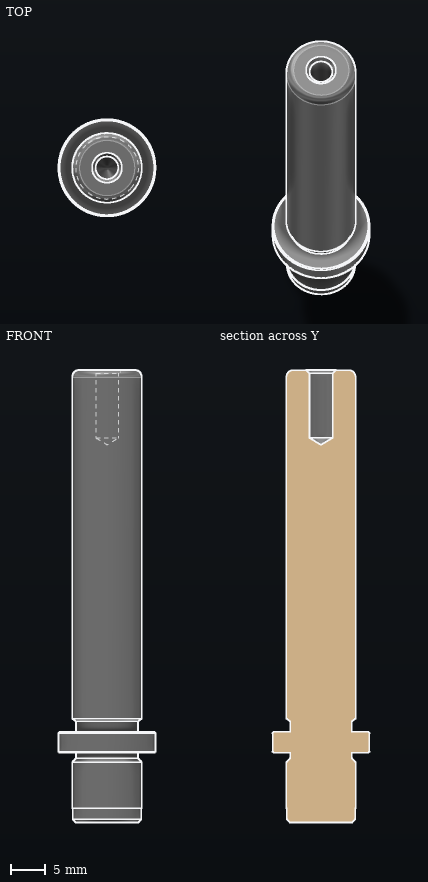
import cadquery as cq
import math

total_length = 65.0
pin_radius = 5.0
neck_radius = 4.5
collar_diameter = 14.0
collar_radius = collar_diameter / 2
collar_base = 10.0
collar_thickness = 3.05
collar_chamfer = 0.2

lead_in_radius = 4.95
lead_in_top = 2.1
end_chamfer_height = 0.5
end_face_radius = 4.5
shank_top = 8.7
shank_shoulder_height = 0.5

pin_base = 14.55
pin_base_chamfer_height = 0.4
top_round_radius = 1.05

hole_radius = 1.6
hole_mouth_radius = 2.15
hole_depth = 9.75
drill_tip_angle = 118.0

collar_top = collar_base + collar_thickness
round_diagonal = top_round_radius * math.sqrt(0.5)


def turned_body():
    """Revolve the stepped outer profile about Z."""
    round_center_r = pin_radius - top_round_radius
    round_center_z = total_length - top_round_radius
    return (
        cq.Workplane("XZ")
        .moveTo(0, 0)
        .lineTo(end_face_radius, 0)
        .lineTo(lead_in_radius, end_chamfer_height)
        .lineTo(lead_in_radius, lead_in_top)
        .lineTo(pin_radius, lead_in_top)
        .lineTo(pin_radius, shank_top)
        .lineTo(neck_radius, shank_top + shank_shoulder_height)
        .lineTo(neck_radius, collar_base)
        .lineTo(collar_radius - collar_chamfer, collar_base)
        .lineTo(collar_radius, collar_base + collar_chamfer)
        .lineTo(collar_radius, collar_top - collar_chamfer)
        .lineTo(collar_radius - collar_chamfer, collar_top)
        .lineTo(neck_radius, collar_top)
        .lineTo(neck_radius, pin_base)
        .lineTo(pin_radius, pin_base + pin_base_chamfer_height)
        .lineTo(pin_radius, round_center_z)
        .threePointArc(
            (round_center_r + round_diagonal, round_center_z + round_diagonal),
            (round_center_r, total_length),
        )
        .lineTo(0, total_length)
        .close()
        .revolve(360, (0, 0, 0), (0, 1, 0))
    )


def top_hole():
    """Countersunk blind hole with a conical drill tip."""
    countersink_depth = hole_mouth_radius - hole_radius
    floor_z = total_length - hole_depth
    tip_height = hole_radius / math.tan(math.radians(drill_tip_angle / 2))
    return (
        cq.Workplane("XZ")
        .moveTo(0, total_length)
        .lineTo(hole_mouth_radius, total_length)
        .lineTo(hole_radius, total_length - countersink_depth)
        .lineTo(hole_radius, floor_z)
        .lineTo(0, floor_z - tip_height)
        .close()
        .revolve(360, (0, 0, 0), (0, 1, 0))
    )


result = turned_body().cut(top_hole())